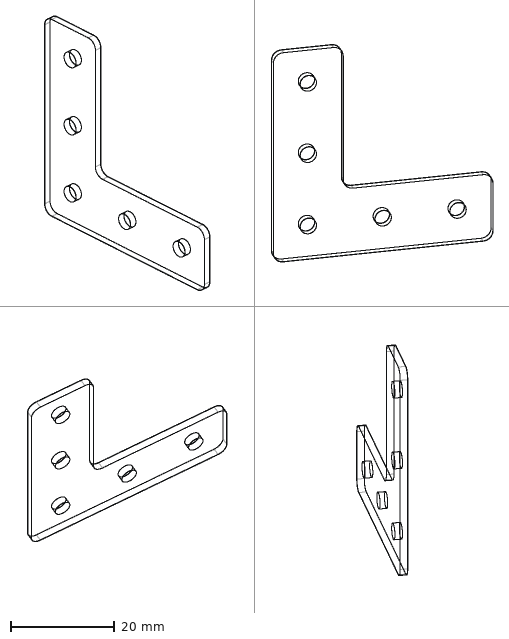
import cadquery as cq

leg_length = 44.0
leg_width = 14.0
thickness = 1.5
corner_radius = 2.0
hole_diameter = 3.25
hole_pitch = 15.0
holes_per_leg = 3

hole_inset = leg_width / 2


def make_plate():
    """L-shaped plate in the XZ plane, with every corner rounded."""
    outline = [
        (0, 0),
        (leg_length, 0),
        (leg_length, leg_width),
        (leg_width, leg_width),
        (leg_width, leg_length),
        (0, leg_length),
    ]
    plate = cq.Workplane("XZ").polyline(outline).close().extrude(-thickness)
    return plate.edges("|Y").fillet(corner_radius)


def hole_centres():
    """One hole at the corner, then evenly spaced holes along both legs."""
    centres = [(hole_inset, hole_inset)]
    for index in range(1, holes_per_leg):
        along_leg = hole_inset + index * hole_pitch
        centres.append((along_leg, hole_inset))
        centres.append((hole_inset, along_leg))
    return centres


def make_hole_cutters():
    """Cylinders that pass through the full plate thickness."""
    cutters = cq.Workplane("XZ").pushPoints(hole_centres())
    return cutters.circle(hole_diameter / 2).extrude(-thickness)


result = make_plate().cut(make_hole_cutters())